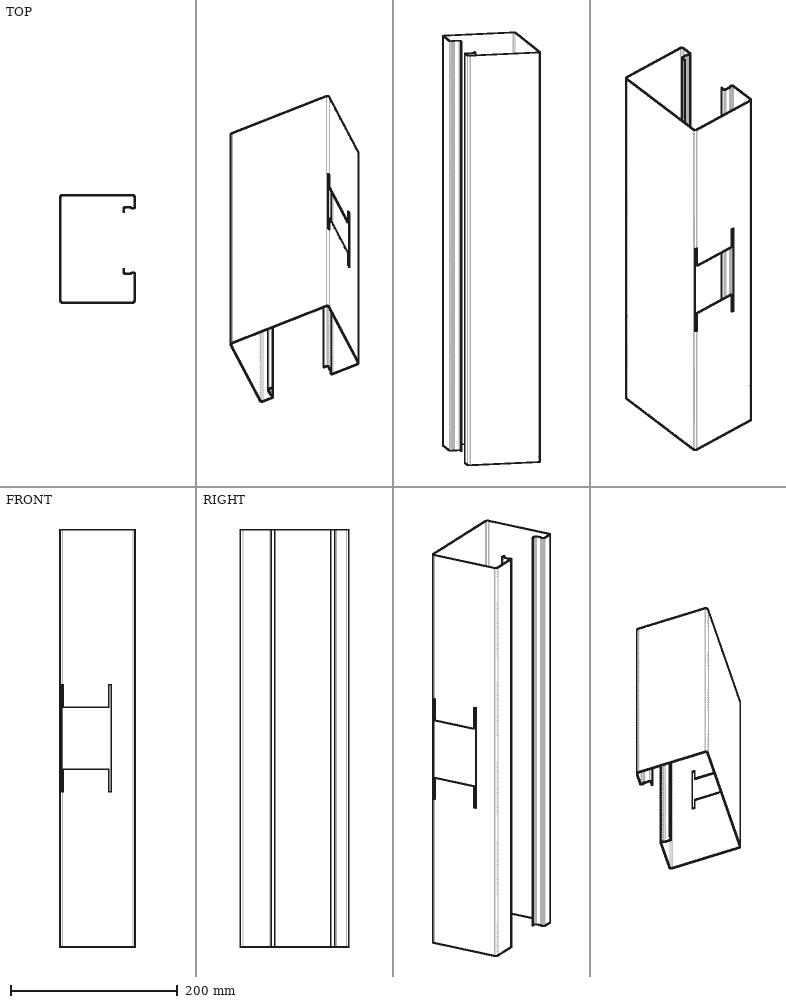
import cadquery as cq
import math

WIDTH = 90.0
DEPTH = 130.0
LENGTH = 500.0
SHEET = 1.2
CORNER_RADIUS = 3.0
LIP_RADIUS = 1.8

OPENING_TOP = 48.0
OPENING_BOTTOM = -28.0

STEP_START = 3.5
STEP_RUN = 2.0
STEP_HEIGHT = 1.0
LIP_LENGTH = 14.0
HOOK_LENGTH = 6.5

WINDOW_HEIGHT = 74.0
SLOT_HEIGHT = 128.5
SLOT_WIDTH = 3.0
SLOT_INSET = 1.0
WINDOW_RIGHT = 61.3
CUT_DEPTH = 1.5

HALF_SHEET = SHEET / 2
LEFT = -WIDTH / 2 + HALF_SHEET
RIGHT = WIDTH / 2 - HALF_SHEET
FRONT = -DEPTH / 2 + HALF_SHEET
BACK = DEPTH / 2 - HALF_SHEET


def lip_folds(opening_y, inward):
    """Fold points of one lip, wall first, as (x, y, outside radius).

    inward is the Y sign that points into the opening.
    """
    lip_y = opening_y - inward * HALF_SHEET
    stepped_y = lip_y - inward * STEP_HEIGHT
    hook_y = stepped_y - inward * HALF_SHEET + inward * HOOK_LENGTH
    step_x = WIDTH / 2 - STEP_START
    hook_x = WIDTH / 2 - LIP_LENGTH + HALF_SHEET
    return [
        (RIGHT, lip_y, LIP_RADIUS),
        (step_x, lip_y, LIP_RADIUS),
        (step_x - STEP_RUN, stepped_y, LIP_RADIUS),
        (hook_x, stepped_y, LIP_RADIUS),
        (hook_x, hook_y, 0),
    ]


def folded_path(folds):
    """Line through the fold points, with a tangent arc at every inner one."""
    path = cq.Workplane("XY").moveTo(*folds[0][:2])
    for before, fold, after in zip(folds, folds[1:], folds[2:]):
        corner = cq.Vector(*fold[:2])
        to_before = (cq.Vector(*before[:2]) - corner).normalized()
        to_after = (cq.Vector(*after[:2]) - corner).normalized()
        radius = fold[2] - HALF_SHEET
        half_angle = to_before.getAngle(to_after) / 2
        tangent_length = radius / math.tan(half_angle)
        middle_distance = radius / math.sin(half_angle) - radius
        start = corner + to_before * tangent_length
        middle = corner + (to_before + to_after).normalized() * middle_distance
        end = corner + to_after * tangent_length
        path = path.lineTo(start.x, start.y).threePointArc((middle.x, middle.y), (end.x, end.y))
    return path.lineTo(*folds[-1][:2])


def channel():
    """Sheet swept along the folded section, from the hook of one lip to the hook of the other."""
    corners = [(RIGHT, BACK), (LEFT, BACK), (LEFT, FRONT), (RIGHT, FRONT)]
    box_folds = [(x, y, CORNER_RADIUS) for x, y in corners]
    folds = lip_folds(OPENING_TOP, -1)[::-1] + box_folds + lip_folds(OPENING_BOTTOM, 1)
    start_x, start_y, _ = folds[0]
    strip_end = cq.Workplane("XZ", origin=(start_x, start_y, 0)).rect(SHEET, LENGTH)
    return strip_end.sweep(folded_path(folds))


def cutter(from_left, width, height):
    """Block through the -Y wall; from_left is measured from the -X face."""
    block = cq.Workplane("XY").box(width, CUT_DEPTH, height, centered=(False, False, True))
    return block.translate((from_left - WIDTH / 2, -DEPTH / 2, 0))


def window():
    """Rectangular cut-out with a taller relief slot along each upright edge."""
    opening = cutter(SLOT_INSET, WINDOW_RIGHT - SLOT_INSET, WINDOW_HEIGHT)
    near_slot = cutter(SLOT_INSET, SLOT_WIDTH, SLOT_HEIGHT)
    far_slot = cutter(WINDOW_RIGHT - SLOT_WIDTH, SLOT_WIDTH, SLOT_HEIGHT)
    return opening.union(near_slot).union(far_slot)


result = channel().cut(window())